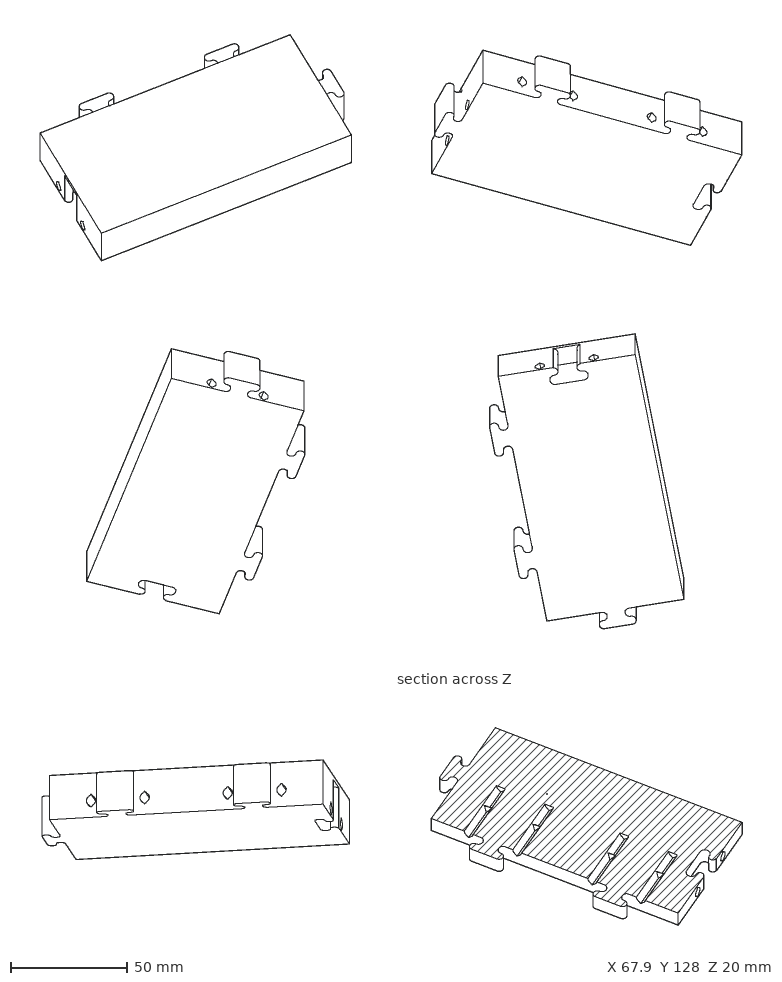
import cadquery as cq
import math

overall_length = 128.0
knob_reach = 7.9
tile_length = overall_length - knob_reach
cell = tile_length / 2
cell_centers_y = (-cell / 2, cell / 2)
tile_width = cell
tile_height = 20.0

knob_height = 17.7
knob_half_width = 8.0
rounding = 1.9
neck_half_width = 4.0
knob_root = 1.3

side_play = 0.3
top_play = 0.4

channel_radius = 2.0
channel_offset = 11.8
long_channel_z = 3.5
cross_channel_z = 7.5
cross_channel_depth = tile_width / 2


def quarter(outline, start, end, center):
    """Append a quarter arc, axis-aligned at both ends, from start to end about center."""
    middle = tuple(
        c + ((p - c) + (q - c)) / math.sqrt(2)
        for p, q, c in zip(start, end, center)
    )
    return outline.lineTo(*start).threePointArc(middle, end)


def connector(height, play=0.0):
    """Connector standing out toward +Y from the XZ plane, rooted behind it and enlarged by `play`."""
    waist_x = neck_half_width + rounding
    head_x = knob_half_width - rounding
    waist_radius = rounding - play
    head_radius = rounding + play
    outline = cq.Workplane("XY").moveTo(0, -knob_root).lineTo(waist_x, -knob_root)

    waist_tip = waist_x - waist_radius
    near_y = rounding
    far_y = knob_reach / 2 - rounding
    outline = quarter(outline, (waist_x, near_y - waist_radius), (waist_tip, near_y), (waist_x, near_y))
    outline = quarter(outline, (waist_tip, far_y), (waist_x, far_y + waist_radius), (waist_x, far_y))

    head_tip = head_x + head_radius
    near_y = knob_reach / 2 + rounding
    far_y = knob_reach - rounding
    outline = quarter(outline, (head_x, near_y - head_radius), (head_tip, near_y), (head_x, near_y))
    outline = quarter(outline, (head_tip, far_y), (head_x, far_y + head_radius), (head_x, far_y))

    half = outline.lineTo(0, knob_reach + play).close().extrude(height)
    return half.union(half.mirror("YZ"))


def channel(length):
    """Round channel from the XZ plane toward +Y, drawn to 45-degree points above and below."""
    flank = channel_radius / math.sqrt(2)
    point = channel_radius * math.sqrt(2)
    return (
        cq.Workplane("XZ")
        .moveTo(0, point)
        .lineTo(flank, flank)
        .threePointArc((channel_radius, 0), (flank, -flank))
        .lineTo(0, -point)
        .lineTo(-flank, -flank)
        .threePointArc((-channel_radius, 0), (-flank, flank))
        .close()
        .extrude(-length)
    )


def turn(solid, angle):
    """Turn a solid about the Z axis."""
    return solid.rotate((0, 0, 0), (0, 0, 1), angle)


tile = cq.Workplane("XY").box(tile_width, tile_length, tile_height, centered=(True, True, False))

knob = connector(knob_height)
tile = tile.union(knob.translate((0, tile_length / 2, 0)))
for cell_y in cell_centers_y:
    tile = tile.union(turn(knob, 90).translate((-tile_width / 2, cell_y, 0)))

socket = connector(knob_height + top_play, side_play)
tile = tile.cut(socket.translate((0, -tile_length / 2, 0)))

long_channel = channel(tile_length)
for side in (-1, 1):
    tile = tile.cut(long_channel.translate((side * channel_offset, -tile_length / 2, long_channel_z)))

cross_channel = turn(channel(cross_channel_depth), -90)
for cell_y in cell_centers_y:
    for side in (-1, 1):
        channel_y = cell_y + side * channel_offset
        tile = tile.cut(cross_channel.translate((-tile_width / 2, channel_y, cross_channel_z)))

result = tile